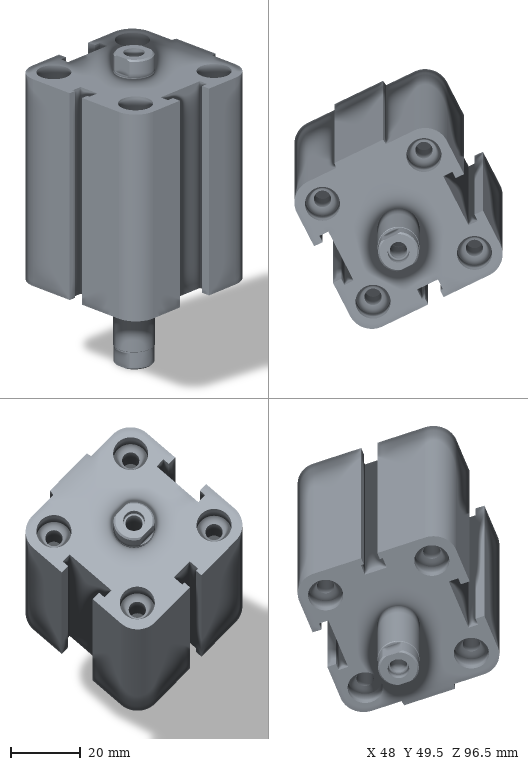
import cadquery as cq

BARREL_WIDTH = 48.0
BARREL_HEIGHT = 64.5
CORNER_RADIUS = 6.9

RAIL_CREST_WIDTH = 15.5
RAIL_ROOT_WIDTH = 16.0
RAIL_HEIGHT = 1.5

SIDE_MOUTH_WIDTH = 12.1
SIDE_INNER_WIDTH = 16.2
SIDE_LIP = 2.7
SIDE_DEPTH = 5.6

FRONT_MOUTH_WIDTH = 4.9
FRONT_INNER_WIDTH = 6.7
FRONT_LIP = 2.1
FRONT_DEPTH = 5.4

HOLE_SPACING = 32.4
HOLE_DIAMETER = 4.9
HOLE_DEPTH = 14.5
COUNTERBORE_DIAMETER = 10.0
COUNTERBORE_DEPTH = 5.4

ROD_LENGTH = 96.5
ROD_DIAMETER = 12.0
ROD_TOP_REACH = 6.0
TIP_DIAMETER = 11.7
TIP_LENGTH = 5.5
TIP_CHAMFER = 0.5
FLAT_DISTANCE = 10.0
FLAT_LENGTH = 5.1

BORE_CORE_DIAMETER = 4.5
END_BORE_DIAMETER = 4.9
END_BORE_DEPTH = 14.5
BORE_MOUTH_DIAMETER = 6.2
BORE_MOUTH_DEPTH = 2.1

FACE_OFFSET = BARREL_WIDTH / 2
BARREL_MID_Z = BARREL_HEIGHT / 2
ROD_TOP_Z = BARREL_HEIGHT + ROD_TOP_REACH
ROD_MID_Z = ROD_TOP_Z - ROD_LENGTH / 2


def cylinder_down(diameter, top_z, length, points=((0, 0),)):
    """Vertical cylinders at the given XY points, running down from top_z."""
    base = cq.Workplane("XY", origin=(0, 0, top_z))
    return base.pushPoints(points).circle(diameter / 2).extrude(-length)


def make_rail():
    """Tapered rail on the +Y face, with a straight base reaching in to the centre plane."""
    half_root = RAIL_ROOT_WIDTH / 2
    half_crest = RAIL_CREST_WIDTH / 2
    crest_y = FACE_OFFSET + RAIL_HEIGHT
    outline = [
        (-half_root, 0),
        (-half_root, FACE_OFFSET),
        (-half_crest, crest_y),
        (half_crest, crest_y),
        (half_root, FACE_OFFSET),
        (half_root, 0),
    ]
    return cq.Workplane("XY").polyline(outline).close().extrude(BARREL_HEIGHT)


def make_t_slot(mouth_width, inner_width, lip, depth, angle):
    """Full-height T-slot cutter for the -Y face, turned about Z by the angle."""
    inner_depth = depth - lip
    inner_y = lip + inner_depth / 2 - FACE_OFFSET
    mouth_y = depth / 2 - FACE_OFFSET
    mouth = cq.Workplane("XY").center(0, mouth_y).rect(mouth_width, depth).extrude(BARREL_HEIGHT)
    inner = cq.Workplane("XY").center(0, inner_y).rect(inner_width, inner_depth).extrude(BARREL_HEIGHT)
    return mouth.union(inner).rotate((0, 0, 0), (0, 0, 1), angle)


def make_corner_holes():
    """Cutter for the four counterbored holes in the top face."""
    offset = HOLE_SPACING / 2
    corners = [(x, y) for x in (-offset, offset) for y in (-offset, offset)]
    holes = cylinder_down(HOLE_DIAMETER, BARREL_HEIGHT, HOLE_DEPTH, corners)
    counterbores = cylinder_down(COUNTERBORE_DIAMETER, BARREL_HEIGHT, COUNTERBORE_DEPTH, corners)
    return holes.union(counterbores)


def make_barrel():
    """Barrel with rail, T-slots, corner holes at both ends and the rod passage."""
    barrel = cq.Workplane("XY").rect(BARREL_WIDTH, BARREL_WIDTH).extrude(BARREL_HEIGHT)
    barrel = barrel.edges("|Z").fillet(CORNER_RADIUS)
    barrel = barrel.union(make_rail())

    barrel = barrel.cut(make_t_slot(FRONT_MOUTH_WIDTH, FRONT_INNER_WIDTH, FRONT_LIP, FRONT_DEPTH, 0))
    for angle in (-90, 90):
        barrel = barrel.cut(make_t_slot(SIDE_MOUTH_WIDTH, SIDE_INNER_WIDTH, SIDE_LIP, SIDE_DEPTH, angle))

    top_holes = make_corner_holes()
    bottom_holes = top_holes.mirror("XY", (0, 0, BARREL_MID_Z))
    rod_passage = cylinder_down(ROD_DIAMETER, BARREL_HEIGHT, BARREL_HEIGHT)
    return barrel.cut(top_holes).cut(bottom_holes).cut(rod_passage)


def make_tip():
    """Upper rod tip: chamfered round end with flats facing -Y and +Y."""
    tip = cylinder_down(TIP_DIAMETER, ROD_TOP_Z, TIP_LENGTH)
    tip = tip.faces(">Z").chamfer(TIP_CHAMFER)
    between_flats = (
        cq.Workplane("XY", origin=(0, 0, ROD_TOP_Z))
        .rect(TIP_DIAMETER, FLAT_DISTANCE)
        .extrude(-FLAT_LENGTH)
    )
    collar = cylinder_down(TIP_DIAMETER, ROD_TOP_Z - FLAT_LENGTH, TIP_LENGTH - FLAT_LENGTH)
    return tip.intersect(between_flats.union(collar))


def make_bore_end():
    """Cutter for the widened upper end of the rod bore."""
    end_bore = cylinder_down(END_BORE_DIAMETER, ROD_TOP_Z, END_BORE_DEPTH)
    mouth = cylinder_down(BORE_MOUTH_DIAMETER, ROD_TOP_Z, BORE_MOUTH_DEPTH)
    return end_bore.union(mouth)


def make_rod():
    """Through rod with the same flatted tip and stepped bore at both ends."""
    shaft = cylinder_down(ROD_DIAMETER, ROD_TOP_Z - TIP_LENGTH, ROD_LENGTH - 2 * TIP_LENGTH)
    shoulder_chamfer = (ROD_DIAMETER - TIP_DIAMETER) / 2
    shaft = shaft.faces("<Z or >Z").chamfer(shoulder_chamfer)

    top_tip = make_tip()
    bottom_tip = top_tip.mirror("XY", (0, 0, ROD_MID_Z))
    rod = shaft.union(top_tip).union(bottom_tip)

    top_bore = make_bore_end()
    bottom_bore = top_bore.mirror("XY", (0, 0, ROD_MID_Z))
    core = cylinder_down(BORE_CORE_DIAMETER, ROD_TOP_Z, ROD_LENGTH)
    return rod.cut(core).cut(top_bore).cut(bottom_bore)


barrel = make_barrel()
rod = make_rod()

result = cq.Compound.makeCompound([barrel.solids().val(), rod.solids().val()])